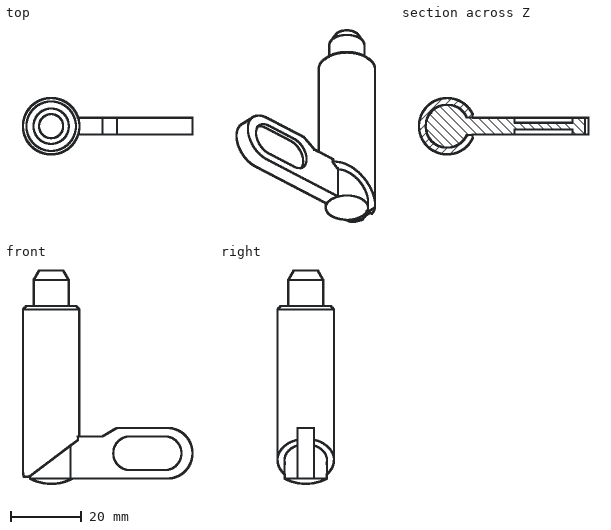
import cadquery as cq
import math


sleeve_diameter = 16.0
sleeve_radius = sleeve_diameter / 2
sleeve_length = 48.4
sleeve_chamfer = 1.0
sleeve_bottom = -sleeve_length
cam_angle = 37.0
cam_start_x = -6.3
notch_radius = 2.5
notch_depth = 1.0

pin_diameter = 10.0
pin_radius = pin_diameter / 2
pin_projection = 10.0
tip_length = 2.75
tip_angle = 30.0
tip_radius = pin_radius - tip_length * math.tan(math.radians(tip_angle))
hub_diameter = 12.0
hub_radius = hub_diameter / 2
hub_height = 12.0
hub_projection = 0.5
hub_bottom = sleeve_bottom - hub_projection
hub_top = hub_bottom + hub_height
dome_height = 1.5

lever_thickness = 4.8
lever_end_x = 40.0
lever_height = 14.4
lever_end_radius = lever_height / 2
lever_end_center_x = lever_end_x - lever_end_radius
lever_top = hub_bottom + lever_height
lever_middle = hub_bottom + lever_end_radius
ramp_start_x = 14.5
ramp_end_x = 18.6

recess_length = 19.3
recess_height = 9.6
recess_depth = 1.4
recess_center_x = 27.2


def cam_cutter():
    """Wedge below the slanted plane that rises from the sleeve's lower end toward +X."""
    reach = sleeve_diameter
    rise = (reach - cam_start_x) * math.tan(math.radians(cam_angle))
    return (
        cq.Workplane("XZ")
        .moveTo(cam_start_x, sleeve_bottom)
        .lineTo(reach, sleeve_bottom)
        .lineTo(reach, sleeve_bottom + rise)
        .close()
        .extrude(sleeve_diameter, both=True)
    )


def notch_cutter():
    """Round-topped rest for the lever across the -X side of the sleeve's lower end."""
    return (
        cq.Workplane("YZ")
        .center(0, sleeve_bottom + notch_depth - notch_radius)
        .circle(notch_radius)
        .extrude(-sleeve_diameter)
    )


def lever_slot_cutter():
    """Slot in the +X wall that takes the root of the lever."""
    return (
        cq.Workplane("XY")
        .workplane(offset=hub_bottom)
        .center(sleeve_radius, 0)
        .rect(sleeve_diameter, lever_thickness)
        .extrude(hub_height)
    )


def make_sleeve():
    body = (
        cq.Workplane("XY")
        .circle(sleeve_radius)
        .extrude(-sleeve_length)
        .faces(">Z")
        .chamfer(sleeve_chamfer)
    )
    pin_bore = cq.Workplane("XY").circle(pin_radius).extrude(-sleeve_length)
    hub_bore = cq.Workplane("XY").workplane(offset=hub_bottom).circle(hub_radius).extrude(hub_height)
    for cutter in (pin_bore, hub_bore, cam_cutter(), notch_cutter(), lever_slot_cutter()):
        body = body.cut(cutter)
    return body


def make_pin():
    """Turned pin with a tapered tip, a thicker hub and a domed lower end."""
    dome_radius = (hub_radius**2 + dome_height**2) / (2 * dome_height)
    dome_bottom = hub_bottom - dome_height
    dome_mid_x = hub_radius / 2
    dome_mid_z = dome_bottom + dome_radius - math.sqrt(dome_radius**2 - dome_mid_x**2)
    return (
        cq.Workplane("XZ")
        .moveTo(0, dome_bottom)
        .threePointArc((dome_mid_x, dome_mid_z), (hub_radius, hub_bottom))
        .lineTo(hub_radius, hub_top)
        .lineTo(pin_radius, hub_top)
        .lineTo(pin_radius, pin_projection - tip_length)
        .lineTo(tip_radius, pin_projection)
        .lineTo(0, pin_projection)
        .close()
        .revolve(360, (0, 0, 0), (0, 1, 0))
    )


def make_lever():
    blade = (
        cq.Workplane("XZ")
        .moveTo(0, hub_bottom)
        .lineTo(lever_end_center_x, hub_bottom)
        .threePointArc((lever_end_x, lever_middle), (lever_end_center_x, lever_top))
        .lineTo(ramp_end_x, lever_top)
        .lineTo(ramp_start_x, hub_top)
        .lineTo(0, hub_top)
        .close()
        .extrude(lever_thickness / 2, both=True)
    )
    recess = (
        cq.Workplane("XZ", origin=(0, -lever_thickness / 2, 0))
        .center(recess_center_x, lever_middle)
        .slot2D(recess_length, recess_height)
        .extrude(-recess_depth)
    )
    return blade.cut(recess).cut(recess.mirror("XZ"))


sleeve = make_sleeve()
plunger = make_pin().union(make_lever())

result = cq.Compound.makeCompound([sleeve.solids().val(), plunger.solids().val()])